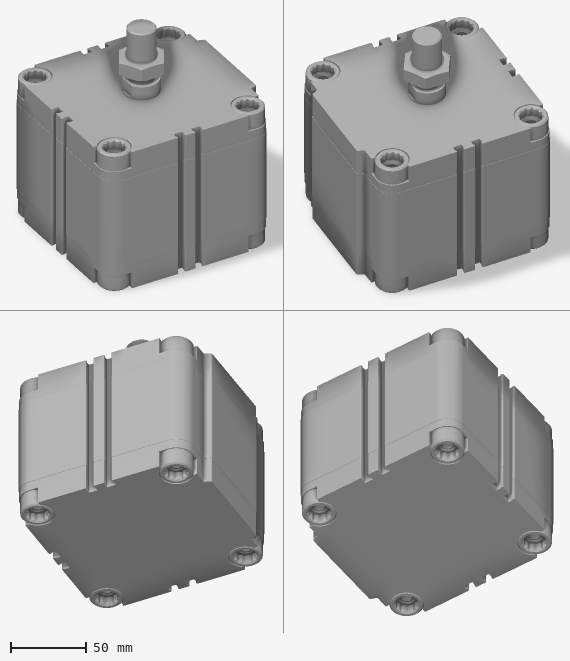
import cadquery as cq
import math

BODY_WIDTH = 128.0
BODY_HEIGHT = 106.5
CAP_HEIGHT = 19.5
CAP_INSET = 0.2
HALF_WIDTH = BODY_WIDTH / 2
SCREW_SPACING = 103.0
SCREW_OFFSET = SCREW_SPACING / 2
CORNER_RADIUS = HALF_WIDTH - SCREW_OFFSET

RAIL_HEIGHT = 5.0
RAIL_BASE_HALF = 35.2
RAIL_SLOPE = 1 / 3
RAIL_TOP_HALF = RAIL_BASE_HALF - RAIL_HEIGHT * RAIL_SLOPE
RAIL_EDGE_RADIUS = 1.5
RAIL_ROOT_RADIUS = 1.3

SLOT_PITCH = 13.5
SLOT_OPENING = 6.5
SLOT_EDGE_RADIUS = 0.7
SLOT_WIDTH = 6.5
SLOT_DEPTH = 5.6
SLOT_LIP = 2.0
SLOT_FACE_ANGLES = (0, 90, -90)

SCREW_DIAMETER = 23.0
SCREW_CHAMFER = 1.0
POCKET_START = 45.0
POCKET_DEPTH = 12.5
STAR_POINTS = 12
STAR_OUTER_DIAMETER = 16.5
STAR_INNER_DIAMETER = STAR_OUTER_DIAMETER * math.cos(math.radians(30)) / math.cos(math.radians(15))
STAR_DEPTH = 7.0
STAR_LEAD_DIAMETER = 17.3
THROUGH_DIAMETER = 8.38
RECESS_TOP_DIAMETER = 11.45
RECESS_BOTTOM_DIAMETER = 10.0

ROD_DIAMETER = 25.0
ROD_TOP = 156.5
ROD_EMBED = CAP_HEIGHT
SHOULDER_HEIGHT = 10.0
FLATS_WIDTH = 22.0
FLATS_GAP = 1.0
THREAD_DIAMETER = 20.0
UNDERCUT_DIAMETER = 18.16
UNDERCUT_LENGTH = 3.4
THREAD_CHAMFER = (THREAD_DIAMETER - UNDERCUT_DIAMETER) / 2

NUT_FLATS = 30.0
NUT_HEIGHT = 10.0
NUT_CLEARANCE = 17.0
NUT_BOTTOM = BODY_HEIGHT + NUT_CLEARANCE
NUT_TOP_FACE_RADIUS = 14.9
NUT_TOP_DROP = 0.7
NUT_BOTTOM_FACE_RADIUS = 15.8
NUT_BOTTOM_RISE = 0.9
NUT_CORNER_RADIUS = NUT_FLATS / math.sqrt(3)

SHOULDER_TOP = BODY_HEIGHT + SHOULDER_HEIGHT


def sensor_slot(x, inset):
    """T-slot along the full height in the -Y face at x; the inset widens its mouth."""
    radius = SLOT_EDGE_RADIUS - inset
    face = inset - HALF_WIDTH
    lip = SLOT_LIP - HALF_WIDTH
    opening = SLOT_OPENING / 2
    mouth = opening - radius
    mouth_slot = (
        cq.Workplane("XY")
        .moveTo(-opening, face)
        .radiusArc((-mouth, face + radius), -radius)
        .lineTo(-mouth, lip)
        .lineTo(mouth, lip)
        .lineTo(mouth, face + radius)
        .radiusArc((opening, face), -radius)
        .close()
        .extrude(BODY_HEIGHT)
    )
    chamber = (
        cq.Workplane("XY")
        .center(0, (SLOT_LIP + SLOT_DEPTH) / 2 - HALF_WIDTH)
        .rect(SLOT_WIDTH, SLOT_DEPTH - SLOT_LIP)
        .extrude(BODY_HEIGHT)
    )
    return mouth_slot.union(chamber).translate((x, 0, 0))


def full_profile():
    """Middle-section outline of the housing without slots, over the whole height."""
    body = (
        cq.Workplane("XY")
        .rect(BODY_WIDTH, BODY_WIDTH)
        .extrude(BODY_HEIGHT)
        .edges("|Z")
        .fillet(CORNER_RADIUS)
    )
    rail = (
        cq.Workplane("XY")
        .polyline([
            (-RAIL_BASE_HALF, HALF_WIDTH),
            (-RAIL_TOP_HALF, HALF_WIDTH + RAIL_HEIGHT),
            (RAIL_TOP_HALF, HALF_WIDTH + RAIL_HEIGHT),
            (RAIL_BASE_HALF, HALF_WIDTH),
        ])
        .close()
        .extrude(BODY_HEIGHT)
    )
    body = body.union(rail)
    for half, y, radius in (
        (RAIL_TOP_HALF, HALF_WIDTH + RAIL_HEIGHT, RAIL_EDGE_RADIUS),
        (RAIL_BASE_HALF, HALF_WIDTH, RAIL_ROOT_RADIUS),
    ):
        for x in (-half, half):
            corner = cq.selectors.NearestToPointSelector((x, y, BODY_HEIGHT / 2))
            body = body.edges("|Z").edges(corner).fillet(radius)
    return body


def cut_slots(body, inset):
    """Cut a pair of sensor slots into each slotted face."""
    for angle in SLOT_FACE_ANGLES:
        for x in (-SLOT_PITCH / 2, SLOT_PITCH / 2):
            body = body.cut(sensor_slot(x, inset).rotate((0, 0, 0), (0, 0, 1), angle))
    return body


def stepped_body():
    """Middle section at full size with an inset section at each end."""
    profile = full_profile()
    inset = (
        profile.faces(">Z")
        .wires()
        .toPending()
        .offset2D(-CAP_INSET, "intersection")
        .extrude(-BODY_HEIGHT, combine=False)
    )
    size = 2 * BODY_WIDTH
    middle_zone = (
        cq.Workplane("XY")
        .box(size, size, BODY_HEIGHT - 2 * CAP_HEIGHT, centered=(True, True, False))
        .translate((0, 0, CAP_HEIGHT))
    )
    middle = cut_slots(profile, 0).intersect(middle_zone)
    return cut_slots(inset, CAP_INSET).union(middle)


def corner_pocket():
    """Square pocket around the +X +Y corner at the top end."""
    return (
        cq.Workplane("XY")
        .box(HALF_WIDTH, HALF_WIDTH, POCKET_DEPTH, centered=False)
        .translate((POCKET_START, POCKET_START, BODY_HEIGHT - POCKET_DEPTH))
    )


def screw_head():
    """Plain round head at the +X +Y corner of the top end."""
    return (
        cq.Workplane("XY", origin=(SCREW_OFFSET, SCREW_OFFSET, BODY_HEIGHT - POCKET_DEPTH))
        .circle(SCREW_DIAMETER / 2)
        .extrude(POCKET_DEPTH)
    )


def rim_cut():
    """Ring that bevels the rim of the head and reaches no further than the head."""
    outer = SCREW_DIAMETER / 2
    return (
        cq.Workplane("XZ")
        .polyline([
            (outer - SCREW_CHAMFER, BODY_HEIGHT),
            (outer, BODY_HEIGHT),
            (outer, BODY_HEIGHT - SCREW_CHAMFER),
        ])
        .close()
        .revolve(360, (0, 0), (0, 1))
        .translate((SCREW_OFFSET, SCREW_OFFSET, 0))
    )


def lead_in(top_diameter, bottom_diameter, top):
    """45-degree cone that narrows downward from a top plane."""
    depth = (top_diameter - bottom_diameter) / 2
    return (
        cq.Workplane("XZ")
        .polyline([
            (0, top),
            (top_diameter / 2, top),
            (bottom_diameter / 2, top - depth),
            (0, top - depth),
        ])
        .close()
        .revolve(360, (0, 0), (0, 1))
    )


def screw_socket():
    """Twelve-pointed socket with a tapered rim and a conical recess in its floor."""
    floor = BODY_HEIGHT - STAR_DEPTH
    star_points = []
    for i in range(2 * STAR_POINTS):
        radius = (STAR_INNER_DIAMETER if i % 2 else STAR_OUTER_DIAMETER) / 2
        angle = math.pi * i / STAR_POINTS
        star_points.append((radius * math.cos(angle), radius * math.sin(angle)))
    star = (
        cq.Workplane("XY", origin=(0, 0, floor))
        .polyline(star_points)
        .close()
        .extrude(STAR_DEPTH)
    )
    lead = lead_in(STAR_LEAD_DIAMETER, STAR_INNER_DIAMETER, BODY_HEIGHT)
    recess = lead_in(RECESS_TOP_DIAMETER, RECESS_BOTTOM_DIAMETER, floor)
    socket = star.union(lead).union(recess)
    return socket.translate((SCREW_OFFSET, SCREW_OFFSET, 0))


def at_all_corners(shape):
    """Copies of a +X +Y top-corner shape at all four corners of both ends."""
    copies = []
    for turn in range(4):
        top = shape.rotate((0, 0, 0), (0, 0, 1), 90 * turn)
        bottom = top.mirror("XY").translate((0, 0, BODY_HEIGHT))
        copies += [top, bottom]
    return copies


def make_housing():
    """Slotted block with the corner screws, their through holes and the blind rod hole."""
    body = stepped_body()
    for pocket in at_all_corners(corner_pocket()):
        body = body.cut(pocket)
    for head in at_all_corners(screw_head()):
        body = body.union(head)
    for cutter in at_all_corners(rim_cut()) + at_all_corners(screw_socket()):
        body = body.cut(cutter)
    through_holes = (
        cq.Workplane("XY")
        .rect(SCREW_SPACING, SCREW_SPACING, forConstruction=True)
        .vertices()
        .circle(THROUGH_DIAMETER / 2)
        .extrude(BODY_HEIGHT)
    )
    rod_hole = (
        cq.Workplane("XY", origin=(0, 0, BODY_HEIGHT - ROD_EMBED))
        .circle(ROD_DIAMETER / 2)
        .extrude(ROD_EMBED)
    )
    return body.cut(through_holes).cut(rod_hole)


def make_rod():
    """Piston rod with a wrench shoulder, an undercut and a threaded end."""
    rod = ROD_DIAMETER / 2
    thread = THREAD_DIAMETER / 2
    undercut = UNDERCUT_DIAMETER / 2
    undercut_top = SHOULDER_TOP + UNDERCUT_LENGTH
    bottom = BODY_HEIGHT - ROD_EMBED
    turned = (
        cq.Workplane("XZ")
        .polyline([
            (0, bottom),
            (rod, bottom),
            (rod, SHOULDER_TOP),
            (undercut, SHOULDER_TOP),
            (undercut, undercut_top),
            (thread, undercut_top + THREAD_CHAMFER),
            (thread, ROD_TOP - THREAD_CHAMFER),
            (thread - THREAD_CHAMFER, ROD_TOP),
            (0, ROD_TOP),
        ])
        .close()
        .revolve(360, (0, 0), (0, 1))
    )
    flats_bottom = BODY_HEIGHT + FLATS_GAP
    for side in (-1, 1):
        flat = (
            cq.Workplane("XY")
            .box(ROD_DIAMETER, ROD_DIAMETER, SHOULDER_TOP - flats_bottom, centered=(True, True, False))
            .translate((0, side * (FLATS_WIDTH + ROD_DIAMETER) / 2, flats_bottom))
        )
        turned = turned.cut(flat)
    return turned


def make_nut():
    """Hexagon nut with flats facing X, trimmed by a turned double-cone outline."""
    top = NUT_BOTTOM + NUT_HEIGHT
    hexagon = (
        cq.Workplane("XY", origin=(0, 0, NUT_BOTTOM))
        .polygon(6, 2 * NUT_CORNER_RADIUS)
        .extrude(NUT_HEIGHT)
        .rotate((0, 0, 0), (0, 0, 1), 30)
    )
    turned = (
        cq.Workplane("XZ")
        .polyline([
            (THREAD_DIAMETER / 2, NUT_BOTTOM),
            (NUT_BOTTOM_FACE_RADIUS, NUT_BOTTOM),
            (NUT_CORNER_RADIUS, NUT_BOTTOM + NUT_BOTTOM_RISE),
            (NUT_CORNER_RADIUS, top - NUT_TOP_DROP),
            (NUT_TOP_FACE_RADIUS, top),
            (THREAD_DIAMETER / 2, top),
        ])
        .close()
        .revolve(360, (0, 0), (0, 1))
    )
    return hexagon.intersect(turned)


housing = make_housing()
rod = make_rod()
nut = make_nut()

result = cq.Compound.makeCompound([
    housing.solids().val(),
    rod.solids().val(),
    nut.solids().val(),
])